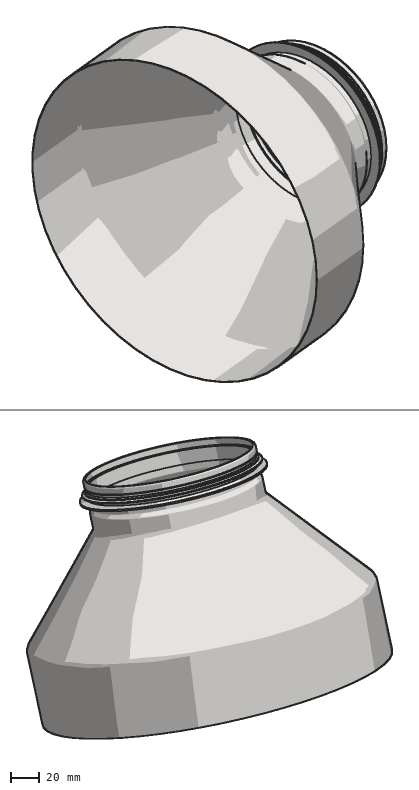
import cadquery as cq
import math

wall = 0.5
total_length = 165.49

sleeve_radius = 251.4 / 2
sleeve_length = 54.1
cone_bend_radius = 5.8

spigot_radius = 124.05 / 2
spigot_collar_start = total_length - 36.7
rim_bend_radius = 1.8

groove_radius = 119.25 / 2
groove_end = total_length - 6.06
ramp_angle = 40
ramp_top = total_length - 23.8
ramp_bottom = ramp_top + (spigot_radius - groove_radius) / math.tan(math.radians(ramp_angle))
tight_bend_radius = 0.8
wide_bend_radius = tight_bend_radius + wall

seal_length = 10.0
seal_start = groove_end - seal_length
seal_radius = 123.05 / 2
front_lip_radius = 129.45 / 2
rear_lip_radius = 134.45 / 2
front_lip_root_start = groove_end - 4.8
front_lip_root_end = groove_end - 1.9
front_lip_tip_start = groove_end - 5.5
front_lip_tip_end = groove_end - 4.7
front_lip_shoulder_radius = 62.6
front_lip_shoulder_start = groove_end - 3.6
front_lip_shoulder_end = groove_end - 2.9
rear_lip_root_end = seal_start + 2.2
rear_lip_tip_start = seal_start - 0.2
rear_lip_tip_end = seal_start + 1.0


def bend(before, corner, after, radius):
    """Start, middle and end of the arc that rounds the corner of a profile."""
    corner = cq.Vector(*corner)
    to_before = (cq.Vector(*before) - corner).normalized()
    to_after = (cq.Vector(*after) - corner).normalized()
    half_angle = to_before.getAngle(to_after) / 2
    tangent_length = radius / math.tan(half_angle)
    centre_distance = radius / math.sin(half_angle)
    toward_centre = (to_before + to_after).normalized()
    arc = (
        corner + to_before * tangent_length,
        corner + toward_centre * (centre_distance - radius),
        corner + to_after * tangent_length,
    )
    return [point.toTuple()[:2] for point in arc]


def trace(profile, corners, radii):
    """Draw lines through the corners, rounding each inner corner that has a bend radius."""
    for before, corner, after, radius in zip(corners, corners[1:], corners[2:], radii):
        if radius:
            start, middle, end = bend(before, corner, after, radius)
            profile = profile.lineTo(*start).threePointArc(middle, end)
        else:
            profile = profile.lineTo(*corner)
    return profile.lineTo(*corners[-1])


def revolve_about_y(profile):
    return profile.close().revolve(360, (0, 0, 0), (0, 1, 0))


def make_reducer():
    cone_angle = math.atan2(sleeve_radius - spigot_radius, spigot_collar_start - sleeve_length)
    cone_shift = wall * math.tan(cone_angle / 2)
    ramp_shift = wall * math.tan(math.radians(ramp_angle) / 2)
    sleeve_bore = sleeve_radius - wall
    spigot_bore = spigot_radius - wall
    groove_bore = groove_radius - wall
    rim_start = total_length - rim_bend_radius
    rim_opening = spigot_radius - rim_bend_radius

    outside = [
        (sleeve_radius, 0),
        (sleeve_radius, sleeve_length),
        (spigot_radius, spigot_collar_start),
        (spigot_radius, ramp_top),
        (groove_radius, ramp_bottom),
        (groove_radius, groove_end),
        (spigot_radius, groove_end),
        (spigot_radius, rim_start),
    ]
    outside_radii = [
        cone_bend_radius, cone_bend_radius, wide_bend_radius, tight_bend_radius, 0, 0,
    ]
    inside = [
        (spigot_bore, rim_start),
        (spigot_bore, groove_end + wall),
        (groove_bore, groove_end + wall),
        (groove_bore, ramp_bottom - ramp_shift),
        (spigot_bore, ramp_top - ramp_shift),
        (spigot_bore, spigot_collar_start - cone_shift),
        (sleeve_bore, sleeve_length - cone_shift),
        (sleeve_bore, 0),
    ]
    inside_radii = [
        0, 0, wide_bend_radius, tight_bend_radius, cone_bend_radius + wall, cone_bend_radius - wall,
    ]

    def rim_middle(radius):
        reach = radius * math.sqrt(0.5)
        return (rim_opening + reach, rim_start + reach)

    profile = cq.Workplane("XY").moveTo(*outside[0])
    profile = trace(profile, outside, outside_radii)
    profile = profile.threePointArc(rim_middle(rim_bend_radius), (rim_opening, total_length))
    profile = profile.lineTo(rim_opening, total_length - wall)
    profile = profile.threePointArc(rim_middle(rim_bend_radius - wall), inside[0])
    profile = trace(profile, inside, inside_radii)
    return revolve_about_y(profile)


def make_seal():
    profile = cq.Workplane("XY").polyline([
        (groove_radius, seal_start),
        (seal_radius, seal_start),
        (rear_lip_radius, rear_lip_tip_start),
        (rear_lip_radius, rear_lip_tip_end),
        (seal_radius, rear_lip_root_end),
        (seal_radius, front_lip_root_start),
        (front_lip_radius, front_lip_tip_start),
        (front_lip_radius, front_lip_tip_end),
        (front_lip_shoulder_radius, front_lip_shoulder_start),
        (front_lip_shoulder_radius, front_lip_shoulder_end),
        (seal_radius, front_lip_root_end),
        (seal_radius, groove_end),
        (groove_radius, groove_end),
    ])
    return revolve_about_y(profile)


reducer = make_reducer()
seal = make_seal()
result = cq.Compound.makeCompound([reducer.val(), seal.val()])